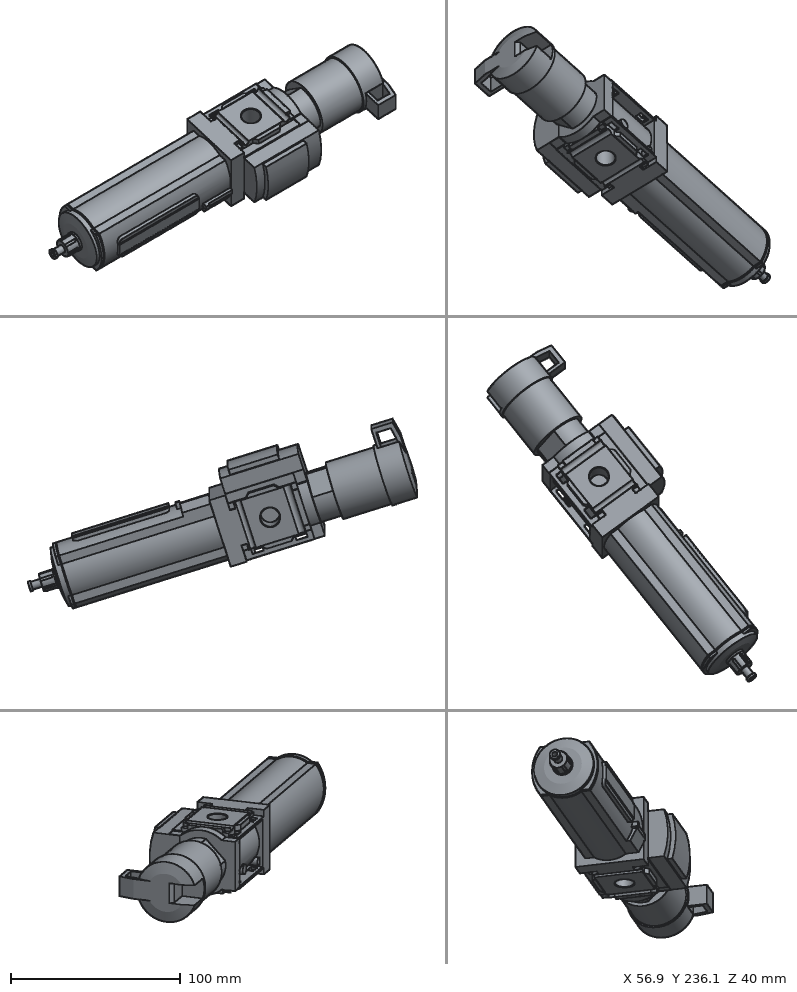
import cadquery as cq

BODY_LEFT = -21.2
BODY_RIGHT = 20.5
BODY_LENGTH = 58.3
BODY_HALF_HEIGHT = 20.0
FRONT_FLANGE = 10.0
BACK_FLANGE = 6.4
BACK_HALF_HEIGHT = 15.3
MIDDLE_START = FRONT_FLANGE
MIDDLE_END = BODY_LENGTH - BACK_FLANGE
SHELF_HALF_HEIGHT = 16.0

WINDOW_START = 12.0
WINDOW_END = 50.5
WINDOW_HALF_HEIGHT = 14.6
CORE_RADIUS = 19.1
PIN_DIAMETER = 6.1
PIN_Y = 37.3
PIN_Z = -8.5
BOSS_DIAMETER = 5.0
BOSS_Z = 11.0
BOSS_INSET = 1.5
BOSS_FACE_X = -19.4

PAD_HALF_WIDTH = 14.9
PAD_TONGUE_HALF_WIDTH = 11.0
PAD_CORNER_LENGTH = 3.3
PAD_STEP = 2.1
GROOVE_UPPER = (44.2, 48.5)
GROOVE_LOWER = (14.5, 17.7)
GROOVE_LIP = 0.5
PORT_Y = 31.2
PORT_DIAMETER = 11.3
PORT_MOUTH_DIAMETER = 12.0
PORT_DEPTH = 14.2
GRIP_HALF_LENGTH = 10.5
GRIP_WIDTH = 2.5
GRIP_DROP = 0.5
SLOT_WIDTH = 3.8
SLOT_LENGTH = 6.8

GAUGE_HALF_HEIGHT = 15.0
GAUGE_EDGE_X = 30.2
GAUGE_CROWN_X = 32.5
GAUGE_BACK_X = 13.5
GLASS_HALF_HEIGHT = 14.5
GLASS_EDGE_X = 33.5
GLASS_CROWN_X = 35.7
GLASS_START = 16.0
GLASS_END = 46.5

NECK_RADIUS = 15.3
NECK_FLAT_DISTANCE = 12.7
NECK_FLAT_ANGLE = 45
KNOB_START = 71.0
KNOB_DIAMETER = 35.2
CAP_DIAMETER = 37.3
CAP_START = 101.0
CAP_END = 116.6
CROWN_RADIUS = 11.8
KNOB_END = 118.3

SLIDE_HALF_WIDTH = 6.1
SLIDE_FLOOR = 103.2
SLIDE_INNER_X = -4.7
SLIDE_BEVEL = 2.4
SLIDE_SLOPE_X = 20.3
SLIDE_OUTER_X = 29.7
SLIDE_OUTER_END = 116.5
EYE_INNER_X = 17.7
EYE_OUTER_X = 26.7
EYE_START = 105.3
EYE_INNER_END = 116.0
EYE_OUTER_END = 114.3

BOWL_RADIUS = 18.2
BOWL_LENGTH = 99.0
BOWL_DOME_END = 100.3
BOWL_FACE_RADIUS = 11.5
LOBE_LENGTH = 96.8
LOBE_HALF_HEIGHT = 15.3
LOBE_CORNER_X = 15.0
LOBE_CROWN_X = 20.0
SEAM_POSITION = 94.5
SEAM_WIDTH = 0.7
SEAM_DEPTH = 0.35

SIGHT_START = 24.8
SIGHT_LENGTH = 59.7
SIGHT_HALF_HEIGHT = 7.8
SIGHT_CORNER = 3.0
SIGHT_FRAME_X = 21.2
SIGHT_FACE_X = 22.0
SIGHT_GLASS_HALF_HEIGHT = 4.7
LATCH_LENGTH = 17.7
LATCH_TIP_LENGTH = 2.5
LATCH_TOP_Z = -4.7
LATCH_TIP_BOTTOM_Z = -7.5
LATCH_FACE_X = 21.7
LATCH_FOOT_X = 17.5
LATCH_TIP_X = 23.0

DRAIN_COLLAR_DIAMETER = 12.0
DRAIN_COLLAR_END = 101.8
DRAIN_DIAMETER = 11.3
DRAIN_STEP = 108.8
DRAIN_END_RADIUS = 5.5
DRAIN_END = 110.3
NIPPLE_DIAMETER = 5.0
LIP_DIAMETER = 6.1
LIP_START = 116.2
NIPPLE_END = 117.8
NIPPLE_BORE = 3.0
BORE_DEPTH = 7.0
DRAIN_GROOVES = 6
DRAIN_GROOVE_WIDTH = 1.7
DRAIN_GROOVE_DEPTH = 0.35
DRAIN_GROOVE_START = 103.0


def block(x_range, y_range, z_range):
    """Box between two limits on each axis."""
    size = [high - low for low, high in (x_range, y_range, z_range)]
    return cq.Workplane("XY").box(*size, centered=False).translate((x_range[0], y_range[0], z_range[0]))


def section(y_start, y_end):
    """Workplane whose local axes are X and Z, placed so that extruding goes from y_start to y_end."""
    return cq.Workplane("XZ", origin=(0, y_end, 0)), y_end - y_start


def rod(radius, y_start, y_end):
    """Cylinder on the Y axis."""
    plane, length = section(y_start, y_end)
    return plane.circle(radius).extrude(length)


def turned(points):
    """Solid of revolution about the Y axis from (radius, y) points."""
    return cq.Workplane("XY").polyline(points).close().revolve(360, (0, 0), (0, 1))


def crowned_bar(edge_x, crown_x, half_height, back_x, y_start, y_end):
    """Bar along Y with a flat back and an arched +X face."""
    plane, length = section(y_start, y_end)
    return (
        plane.moveTo(back_x, -half_height)
        .lineTo(edge_x, -half_height)
        .threePointArc((crown_x, 0), (edge_x, half_height))
        .lineTo(back_x, half_height)
        .close()
        .extrude(length)
    )


def make_pad():
    """Port pad on the +Z face, with its grooves, corner steps and grips."""
    top = BODY_HALF_HEIGHT
    floor = top - PAD_STEP
    pad = block((-PAD_HALF_WIDTH, PAD_HALF_WIDTH), (MIDDLE_START, MIDDLE_END), (SHELF_HALF_HEIGHT, top))

    for side in (-1, 1):
        inner_x = side * PAD_HALF_WIDTH
        outer_x = side * (PAD_HALF_WIDTH + GRIP_WIDTH)
        low, high = PORT_Y - GRIP_HALF_LENGTH, PORT_Y + GRIP_HALF_LENGTH
        grip = (
            cq.Workplane("XY", origin=(0, 0, SHELF_HALF_HEIGHT))
            .polyline([(0, low), (inner_x, low), (outer_x, low + GRIP_WIDTH),
                       (outer_x, high - GRIP_WIDTH), (inner_x, high), (0, high)])
            .close()
            .extrude(top - GRIP_DROP - SHELF_HALF_HEIGHT)
        )
        pad = pad.union(grip)

    for low, high in (GROOVE_LOWER, GROOVE_UPPER):
        groove = (
            cq.Workplane("YZ", origin=(-PAD_HALF_WIDTH, 0, 0))
            .moveTo(high, top)
            .lineTo(high, top - GROOVE_LIP)
            .threePointArc(((low + high) / 2, floor), (low, top - GROOVE_LIP))
            .lineTo(low, top)
            .close()
            .extrude(2 * PAD_HALF_WIDTH)
        )
        pad = pad.cut(groove)

    for x_range in ((-PAD_HALF_WIDTH, -PAD_TONGUE_HALF_WIDTH), (PAD_TONGUE_HALF_WIDTH, PAD_HALF_WIDTH)):
        for y_range in ((MIDDLE_START, MIDDLE_START + PAD_CORNER_LENGTH),
                        (MIDDLE_END - PAD_CORNER_LENGTH, MIDDLE_END)):
            pad = pad.cut(block(x_range, y_range, (floor, top)))

    return pad


def make_port():
    """Blind port in the +Z face, with a chamfered mouth."""
    face = cq.Workplane("XY", origin=(0, PORT_Y, BODY_HALF_HEIGHT))
    mouth_depth = (PORT_MOUTH_DIAMETER - PORT_DIAMETER) / 2
    mouth = (
        face.circle(PORT_MOUTH_DIAMETER / 2)
        .workplane(offset=-mouth_depth)
        .circle(PORT_DIAMETER / 2)
        .loft()
    )
    return face.circle(PORT_DIAMETER / 2).extrude(-PORT_DEPTH).union(mouth)


def make_body():
    """Square body: two flanges, the shelved middle, the side window and the port pads."""
    width = (BODY_LEFT, BODY_RIGHT)
    front = block(width, (0, FRONT_FLANGE), (-BODY_HALF_HEIGHT, BODY_HALF_HEIGHT))
    middle = block(width, (MIDDLE_START, MIDDLE_END), (-SHELF_HALF_HEIGHT, SHELF_HALF_HEIGHT))
    back = block(width, (MIDDLE_END, BODY_LENGTH), (-BACK_HALF_HEIGHT, BACK_HALF_HEIGHT))
    back_round = rod(BODY_HALF_HEIGHT, MIDDLE_END, BODY_LENGTH)
    body = front.union(middle).union(back).union(back_round)

    window = block((BODY_LEFT, 0), (WINDOW_START, WINDOW_END), (-WINDOW_HALF_HEIGHT, WINDOW_HALF_HEIGHT))
    body = body.cut(window)
    for groove_end in (GROOVE_LOWER[0] + SLOT_LENGTH, GROOVE_UPPER[1]):
        body = body.cut(block(
            (-PAD_HALF_WIDTH - SLOT_WIDTH, -PAD_HALF_WIDTH),
            (groove_end - SLOT_LENGTH, groove_end),
            (-SHELF_HALF_HEIGHT, SHELF_HALF_HEIGHT),
        ))
    core_trim = block(
        (-CORE_RADIUS, CORE_RADIUS), (MIDDLE_START, MIDDLE_END), (-SHELF_HALF_HEIGHT, SHELF_HALF_HEIGHT)
    )
    body = body.union(rod(CORE_RADIUS, MIDDLE_START, MIDDLE_END).intersect(core_trim))

    studs = (
        (PIN_Y, PIN_Z, PIN_DIAMETER),
        (WINDOW_END - BOSS_INSET, BOSS_Z, BOSS_DIAMETER),
        (WINDOW_START + BOSS_INSET, -BOSS_Z, BOSS_DIAMETER),
    )
    for y, z, diameter in studs:
        body = body.union(
            cq.Workplane("YZ", origin=(BOSS_FACE_X, y, z)).circle(diameter / 2).extrude(-BOSS_FACE_X)
        )

    body = body.cut(block(
        (GAUGE_BACK_X, BODY_RIGHT), (FRONT_FLANGE, BODY_LENGTH), (-GAUGE_HALF_HEIGHT, GAUGE_HALF_HEIGHT)
    ))

    pad = make_pad()
    port = make_port()
    return body.union(pad).union(pad.mirror("XY")).cut(port).cut(port.mirror("XY"))


def make_gauge():
    """Arched gauge with its raised glass, let into the +X side of the body."""
    base = crowned_bar(
        GAUGE_EDGE_X, GAUGE_CROWN_X, GAUGE_HALF_HEIGHT, GAUGE_BACK_X, FRONT_FLANGE, BODY_LENGTH
    )
    glass = crowned_bar(
        GLASS_EDGE_X, GLASS_CROWN_X, GLASS_HALF_HEIGHT, GAUGE_BACK_X, GLASS_START, GLASS_END
    )
    return base.union(glass)


def make_knob():
    """Neck with two slanted flats, and the knob with its slotted, crowned cap."""
    neck = rod(NECK_RADIUS, BODY_LENGTH, KNOB_START)
    flats = (
        cq.Workplane("XZ", origin=(0, KNOB_START, 0))
        .rect(2 * NECK_RADIUS, 2 * NECK_FLAT_DISTANCE)
        .extrude(KNOB_START - BODY_LENGTH)
        .rotate((0, 0, 0), (0, 1, 0), -NECK_FLAT_ANGLE)
    )
    neck = neck.intersect(flats)
    knob = turned([
        (0, KNOB_START),
        (KNOB_DIAMETER / 2, KNOB_START),
        (KNOB_DIAMETER / 2, CAP_START),
        (CAP_DIAMETER / 2, CAP_START),
        (CAP_DIAMETER / 2, CAP_END),
        (CROWN_RADIUS, KNOB_END),
        (0, KNOB_END),
    ])
    slot = block(
        (-CAP_DIAMETER, CAP_DIAMETER), (SLIDE_FLOOR, KNOB_END), (-SLIDE_HALF_WIDTH, SLIDE_HALF_WIDTH)
    )
    return neck.union(knob.cut(slot))


def bowl_section(inset, y_start, y_end):
    """Length of the bowl's outline: a round with two arched side lobes, all shrunk by the inset."""
    lobe = crowned_bar(
        LOBE_CORNER_X - inset, LOBE_CROWN_X - inset, LOBE_HALF_HEIGHT - inset, 0, y_start, y_end
    )
    return rod(BOWL_RADIUS - inset, y_start, y_end).union(lobe).union(lobe.mirror("YZ"))


def make_bowl():
    """Bowl with a shallow seam groove near its end and a domed end face."""
    seam_end = SEAM_POSITION + SEAM_WIDTH
    dome = turned([
        (0, -LOBE_LENGTH),
        (BOWL_RADIUS, -LOBE_LENGTH),
        (BOWL_RADIUS, -BOWL_LENGTH),
        (BOWL_FACE_RADIUS, -BOWL_DOME_END),
        (0, -BOWL_DOME_END),
    ])
    return (
        bowl_section(0, -SEAM_POSITION, 0)
        .union(bowl_section(SEAM_DEPTH, -seam_end, -SEAM_POSITION))
        .union(bowl_section(0, -LOBE_LENGTH, -seam_end))
        .union(dome)
    )


def make_sight():
    """Sight frame with rounded corners along the +X side of the bowl, and its raised glass."""
    length_range = (-SIGHT_START - SIGHT_LENGTH, -SIGHT_START)
    frame = (
        block((0, SIGHT_FRAME_X), length_range, (-SIGHT_HALF_HEIGHT, SIGHT_HALF_HEIGHT))
        .edges("|X")
        .fillet(SIGHT_CORNER)
    )
    glass = block(
        (0, SIGHT_FACE_X), length_range, (-SIGHT_GLASS_HALF_HEIGHT, SIGHT_GLASS_HALF_HEIGHT)
    )
    return frame.union(glass)


def make_latch():
    """Slanted latch on the lower +X side of the bowl, with a small tip at its end."""
    plane, length = section(-LATCH_LENGTH, 0)
    arm = (
        plane.polyline([
            (0, LATCH_TOP_Z),
            (LATCH_FACE_X, LATCH_TOP_Z),
            (LATCH_FACE_X, LATCH_TIP_BOTTOM_Z),
            (LATCH_FOOT_X, -LOBE_HALF_HEIGHT),
            (0, -LOBE_HALF_HEIGHT),
        ])
        .close()
        .extrude(length)
    )
    tip = block((0, LATCH_TIP_X), (-LATCH_LENGTH - LATCH_TIP_LENGTH, -LATCH_LENGTH),
                (LATCH_TIP_BOTTOM_Z, LATCH_TOP_Z))
    return arm.union(tip)


def make_drain():
    """Drain screw with grip grooves, and the hose nipple with its bore."""
    drain = turned([
        (0, -BOWL_DOME_END),
        (DRAIN_COLLAR_DIAMETER / 2, -BOWL_DOME_END),
        (DRAIN_COLLAR_DIAMETER / 2, -DRAIN_COLLAR_END),
        (DRAIN_DIAMETER / 2, -DRAIN_COLLAR_END),
        (DRAIN_DIAMETER / 2, -DRAIN_STEP),
        (DRAIN_END_RADIUS, -DRAIN_END),
        (NIPPLE_DIAMETER / 2, -DRAIN_END),
        (NIPPLE_DIAMETER / 2, -LIP_START),
        (LIP_DIAMETER / 2, -LIP_START),
        (LIP_DIAMETER / 2, -NIPPLE_END),
        (0, -NIPPLE_END),
    ])
    groove_floor = DRAIN_DIAMETER / 2 - DRAIN_GROOVE_DEPTH
    groove = block((groove_floor, DRAIN_DIAMETER), (-DRAIN_END, -DRAIN_GROOVE_START),
                   (-DRAIN_GROOVE_WIDTH / 2, DRAIN_GROOVE_WIDTH / 2))
    for index in range(DRAIN_GROOVES):
        drain = drain.cut(groove.rotate((0, 0, 0), (0, 1, 0), index * 360 / DRAIN_GROOVES))
    return drain.cut(rod(NIPPLE_BORE / 2, -NIPPLE_END, -NIPPLE_END + BORE_DEPTH))


def make_slide():
    """Locking slide: a bar in the knob slot that carries a padlock eye outside the cap."""
    outline = [
        (SLIDE_INNER_X, SLIDE_FLOOR),
        (SLIDE_OUTER_X, SLIDE_FLOOR),
        (SLIDE_OUTER_X, SLIDE_OUTER_END),
        (SLIDE_SLOPE_X, KNOB_END),
        (SLIDE_INNER_X + SLIDE_BEVEL, KNOB_END),
        (SLIDE_INNER_X, SLIDE_OUTER_END),
    ]
    eye = [
        (EYE_INNER_X, EYE_START),
        (EYE_OUTER_X, EYE_START),
        (EYE_OUTER_X, EYE_OUTER_END),
        (EYE_INNER_X, EYE_INNER_END),
    ]
    plane = cq.Workplane("XY", origin=(0, 0, -SLIDE_HALF_WIDTH))
    width = 2 * SLIDE_HALF_WIDTH
    return plane.polyline(outline).close().extrude(width).cut(plane.polyline(eye).close().extrude(width))


def make_regulator():
    """Regulator: the body with its knob, locking slide, bowl and drain as one solid."""
    regulator = make_body()
    for piece in (make_knob(), make_slide(), make_bowl(), make_sight(), make_latch(), make_drain()):
        regulator = regulator.union(piece)
    return regulator


regulator = make_regulator()
gauge = make_gauge()

result = cq.Compound.makeCompound([regulator.val(), gauge.val()])